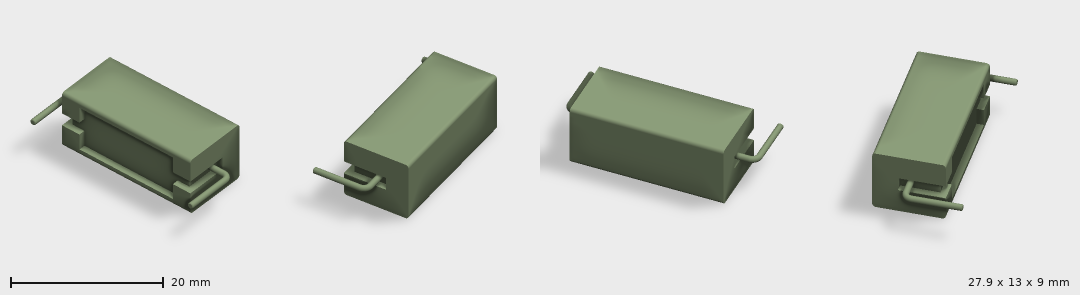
import cadquery as cq

case_length = 22.0
case_depth = 10.0
case_height = 9.0
edge_radius = 0.5

wall = 1.0
potting_recess = 1.0
window_length = 16.0
window_height = case_height - 2 * wall

slot_height = 2.0
slot_depth = 6.5

lead_diameter = 0.9
lead_pitch = 27.0
lead_overhang = 3.0
bend_radius = 1.0
tip_chamfer = 0.1
lead_embedment = 0.5

front_y = -case_depth / 2
potting_length = case_length - 2 * wall


def front_pocket(length, height, depth, center_x=0.0):
    """Block to cut from the open face of the case."""
    center_y = front_y + depth / 2
    return cq.Workplane("XY").box(length, depth, height).translate((center_x, center_y, 0))


def make_case():
    case = cq.Workplane("XY").box(case_length, case_depth, case_height)
    case = case.edges("|X").fillet(edge_radius)
    case = case.cut(front_pocket(window_length, window_height, potting_recess))
    case = case.cut(front_pocket(case_length, slot_height, potting_recess))
    slot_center_x = (case_length - wall) / 2
    for side in (-1, 1):
        case = case.cut(front_pocket(wall, slot_height, slot_depth, side * slot_center_x))
    return case


def make_lead():
    """Lead on the +X end: straight out along X, then bent toward -Y."""
    start_x = potting_length / 2 - lead_embedment
    pin_x = lead_pitch / 2
    tip_y = front_y - lead_overhang
    path = (
        cq.Workplane("XY")
        .moveTo(start_x, 0)
        .lineTo(pin_x - bend_radius, 0)
        .radiusArc((pin_x, -bend_radius), bend_radius)
        .lineTo(pin_x, tip_y)
    )
    lead = cq.Workplane("YZ", origin=(start_x, 0, 0)).circle(lead_diameter / 2).sweep(path)
    return lead.faces("<Y").edges().chamfer(tip_chamfer)


lead = make_lead()
result = make_case().union(lead).union(lead.mirror("YZ"))